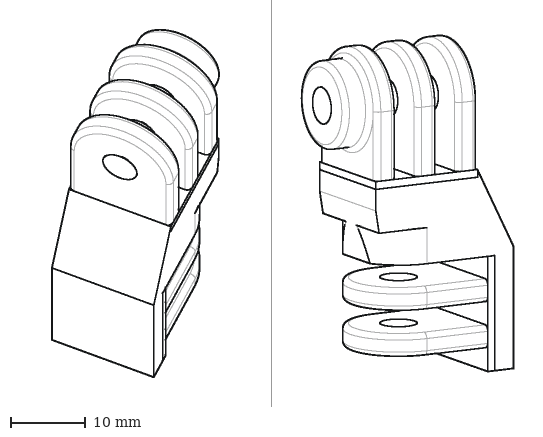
import cadquery as cq
import math

width = 15.0
total_depth = 25.39
total_height = 44.89

prong_thickness = 3.16
prong_pitch = 2 * prong_thickness
prong_radius = width / 2
prong_reach = 9.5
prong_edge_radius = 0.75
bolt_diameter = 5.0
upper_prong_count = 3
lower_prong_count = 2

boss_diameter = 12.0
boss_height = 4.0

plate_thickness = 1.06
plate_length = (2 * upper_prong_count - 1) * prong_thickness

wall_thickness = 4.0
front_slope_bottom = 16.8
relief_height = 4.95
rear_slope_inset = 1.35
rear_slope_height = 8.1

rear_y = total_depth - boss_height
upper_plate_front_y = rear_y - plate_length
upper_plate_top_z = total_height - prong_radius - prong_reach
upper_plate_bottom_z = upper_plate_top_z - plate_thickness
lower_plate_front_y = wall_thickness - plate_thickness
lower_axis_y = wall_thickness + prong_reach
bridge_bottom_z = plate_length


def make_prong():
    """Prong standing on Z = 0, with its thickness running from Y = 0 to +Y."""
    blank = (
        cq.Workplane("XZ")
        .moveTo(-prong_radius, 0)
        .lineTo(-prong_radius, prong_reach)
        .threePointArc((0, prong_reach + prong_radius), (prong_radius, prong_reach))
        .lineTo(prong_radius, 0)
        .close()
        .extrude(-prong_thickness)
    )
    rounded = blank.faces("<Y or >Y").edges("not <Z").fillet(prong_edge_radius)
    return rounded.cut(make_bolt_hole(prong_thickness))


def make_bolt_hole(length):
    """Cylinder on a prong's bolt axis, from Y = 0 to the given length."""
    return (
        cq.Workplane("XZ")
        .center(0, prong_reach)
        .circle(bolt_diameter / 2)
        .extrude(-length)
    )


def make_boss():
    """Round boss behind a prong, with a rounded rim and a concave fillet at its root."""
    radius = boss_diameter / 2
    edge = prong_edge_radius
    mid_arc = edge * (1 - math.sqrt(0.5))
    start_y = prong_thickness
    end_y = start_y + boss_height
    sunk_y = start_y - edge
    return (
        cq.Workplane("XY")
        .moveTo(0, sunk_y)
        .lineTo(radius, sunk_y)
        .lineTo(radius, start_y)
        .lineTo(radius + edge, start_y)
        .threePointArc((radius + mid_arc, start_y + mid_arc), (radius, start_y + edge))
        .lineTo(radius, end_y - edge)
        .threePointArc((radius - mid_arc, end_y - mid_arc), (radius - edge, end_y))
        .lineTo(0, end_y)
        .close()
        .revolve(360, (0, 0, 0), (0, 1, 0))
        .translate((0, 0, prong_reach))
    )


def make_boss_prong():
    """Prong with the boss on its rear face, bored right through."""
    return make_prong().union(make_boss()).cut(make_bolt_hole(prong_thickness + boss_height))


def make_upper_prongs():
    prongs = []
    for index in range(upper_prong_count):
        is_rearmost = index == upper_prong_count - 1
        prong = make_boss_prong() if is_rearmost else make_prong()
        place = (0, upper_plate_front_y + index * prong_pitch, upper_plate_top_z)
        prongs.append(prong.translate(place))
    return prongs


def make_lower_prongs():
    """Prongs lying flat and pointing to +Y, one prong thickness clear of the underside."""
    prongs = []
    for index in range(lower_prong_count):
        lying = make_prong().rotate((0, 0, 0), (1, 0, 0), -90)
        top_z = plate_length - prong_thickness - index * prong_pitch
        prongs.append(lying.translate((0, wall_thickness, top_z)))
    return prongs


def make_upper_plate():
    return (
        cq.Workplane("XY")
        .box(width, plate_length, plate_thickness, centered=(True, False, False))
        .translate((0, upper_plate_front_y, upper_plate_bottom_z))
    )


def make_lower_plate():
    return (
        cq.Workplane("XY")
        .box(width, plate_thickness, plate_length, centered=(True, False, False))
        .translate((0, lower_plate_front_y, 0))
    )


def make_rear_relief():
    """Waste around the half-round rear end at the foot of the bridge."""
    block_depth = rear_y - lower_axis_y
    block = (
        cq.Workplane("XY")
        .box(width, block_depth, relief_height, centered=(True, False, False))
        .translate((0, lower_axis_y, bridge_bottom_z))
    )
    round_end = (
        cq.Workplane("XY", origin=(0, lower_axis_y, bridge_bottom_z))
        .circle(prong_radius)
        .extrude(relief_height)
    )
    return block.cut(round_end)


def make_bridge():
    """Angled body: front wall holding the lower plate, sloping up to the upper plate."""
    side_profile = [
        (0, 0),
        (wall_thickness, 0),
        (wall_thickness, bridge_bottom_z),
        (rear_y - rear_slope_inset, bridge_bottom_z),
        (rear_y, bridge_bottom_z + rear_slope_height),
        (rear_y, upper_plate_top_z),
        (upper_plate_front_y, upper_plate_top_z),
        (0, front_slope_bottom),
    ]
    solid = cq.Workplane("YZ").polyline(side_profile).close().extrude(width / 2, both=True)
    return solid.cut(make_upper_plate()).cut(make_lower_plate()).cut(make_rear_relief())


bridge = make_bridge()
upper_plate = make_upper_plate()
lower_plate = make_lower_plate()
prongs = make_upper_prongs() + make_lower_prongs()

result = cq.Compound.makeCompound(
    [
        bridge.val(),
        upper_plate.val(),
        lower_plate.val(),
        *[prong.val() for prong in prongs],
    ]
)